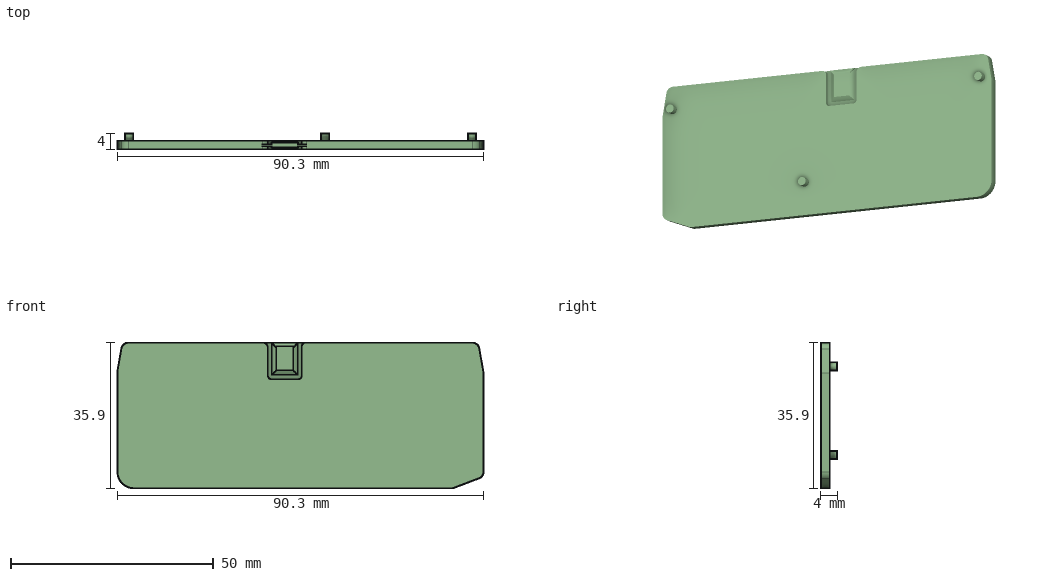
import cadquery as cq
import math

plate_length = 90.3
plate_height = 35.9
plate_thickness = 2.2
half_length = plate_length / 2
top = plate_height / 2
bottom = -top
mid_plane = plate_thickness / 2

side_taper = math.radians(10)
left_taper_drop = 6.95
right_taper_drop = 7.5
top_corner_radius = 1.8
bottom_left_radius = 4.1
bottom_right_radius = 1.8
bevel_length = 7.6
bevel_height = 2.9

latch_x = -3.9
recess_width = 8.3
recess_depth = 9.0
recess_corner_radius = 0.8
left_mouth_radius = 1.35
right_mouth_radius = 1.1
web_thickness = 0.45
web_front = mid_plane - web_thickness / 2

pad_base_width = 6.3
pad_base_drop = 7.95
pad_face_width = 4.15
pad_face_drop = 6.9
pad_top_bevel_drop = 0.9
pad_top_bevel_depth = 0.4
pad_face_inset = 0.2
flange_width = 6.7
flange_drop = 1.3

pin_diameter = 2.1
pin_length = 1.8
outer_pin_spacing = 84.5
outer_pin_z = top - 5.9
middle_pin_x = 6.05
middle_pin_z = top - 27.7


def prism_along_y(points, y_start, y_end):
    """Extrude an X-Z outline from y_start to y_end."""
    outline = cq.Workplane("XZ", origin=(0, y_start, 0)).polyline(points).close()
    return outline.extrude(y_start - y_end)


def round_edges(body, x, z, radius):
    """Round the Y-direction edge that passes through (x, z)."""
    edge = cq.selectors.NearestToPointSelector((x, mid_plane, z))
    return body.edges("|Y").edges(edge).fillet(radius)


def make_plate():
    left_inset = left_taper_drop * math.tan(side_taper)
    right_inset = right_taper_drop * math.tan(side_taper)
    top_left = (-half_length + left_inset, top)
    top_right = (half_length - right_inset, top)
    bevel_end = (half_length, bottom + bevel_height)
    bottom_left = (-half_length, bottom)
    outline = [
        bottom_left,
        (half_length - bevel_length, bottom),
        bevel_end,
        (half_length, top - right_taper_drop),
        top_right,
        top_left,
        (-half_length, top - left_taper_drop),
    ]
    plate = prism_along_y(outline, 0, plate_thickness)
    plate = round_edges(plate, *top_left, top_corner_radius)
    plate = round_edges(plate, *top_right, top_corner_radius)
    plate = round_edges(plate, *bottom_left, bottom_left_radius)
    return round_edges(plate, *bevel_end, bottom_right_radius)


def cut_recess(plate):
    """Cut the notch with rounded corners, then close it with the web."""
    left = latch_x - recess_width / 2
    right = latch_x + recess_width / 2
    floor = top - recess_depth
    notch = [(left, top), (right, top), (right, floor), (left, floor)]
    body = plate.cut(prism_along_y(notch, 0, plate_thickness))
    for x in (left, right):
        body = round_edges(body, x, floor, recess_corner_radius)
    body = round_edges(body, left, top, left_mouth_radius)
    body = round_edges(body, right, top, right_mouth_radius)

    web_left = left - left_mouth_radius
    web_right = right + right_mouth_radius
    web_floor = floor - recess_corner_radius
    web = [(web_left, top), (web_right, top), (web_right, web_floor), (web_left, web_floor)]
    return body.union(prism_along_y(web, web_front, web_front + web_thickness))


def make_front_pad():
    """Tapered pad from the web to just behind the front face, with a flared, bevelled top."""
    pad = (
        cq.Workplane("XZ", origin=(latch_x, web_front, top))
        .center(0, -pad_base_drop / 2)
        .rect(pad_base_width, pad_base_drop)
        .workplane(offset=web_front - pad_face_inset)
        .center(0, (pad_base_drop - pad_face_drop) / 2)
        .rect(pad_face_width, pad_face_drop)
        .loft(ruled=True)
    )
    flange = [
        (latch_x - flange_width / 2, top),
        (latch_x + flange_width / 2, top),
        (latch_x + pad_face_width / 2, top - flange_drop),
        (latch_x - pad_face_width / 2, top - flange_drop),
    ]
    pad = pad.union(prism_along_y(flange, pad_face_inset, web_front))
    bevel_end_y = pad_face_inset + pad_top_bevel_depth
    bevel = (
        cq.Workplane("YZ", origin=(latch_x, 0, 0))
        .polyline([(pad_face_inset, top), (bevel_end_y, top), (pad_face_inset, top - pad_top_bevel_drop)])
        .close()
        .extrude(flange_width, both=True)
    )
    return pad.cut(bevel)


def make_pins():
    locations = [
        (-outer_pin_spacing / 2, outer_pin_z),
        (outer_pin_spacing / 2, outer_pin_z),
        (middle_pin_x, middle_pin_z),
    ]
    return (
        cq.Workplane("XZ", origin=(0, mid_plane, 0))
        .pushPoints(locations)
        .circle(pin_diameter / 2)
        .extrude(-(plate_thickness - mid_plane + pin_length))
    )


front_pad = make_front_pad()
back_pad = front_pad.mirror("XZ", (0, mid_plane, 0))
result = cut_recess(make_plate()).union(front_pad).union(back_pad).union(make_pins())